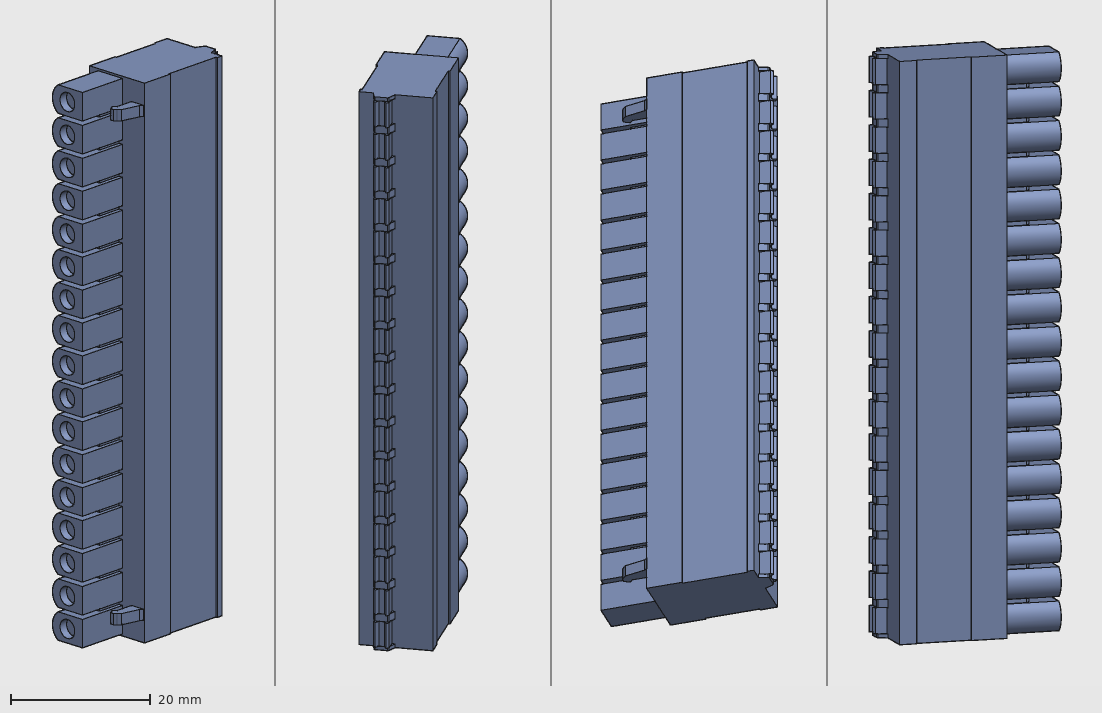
import cadquery as cq

length = 85.0
pole_count = 17
pitch = length / pole_count

housing_width = 10.9
housing_depth = 16.15
waist_front = 5.35
waist_back = 13.6
waist_inset = 0.25
waist_slope = 0.2
right_waist_back = 15.1

sleeve_length = 8.3
sleeve_height = 4.3
sleeve_right = 1.1
sleeve_left = -4.85
hole_x = -1.9
sleeve_radius = 2.6
hole_radius = 1.45
hole_depth = 1.4

web_left = -3.4
web_right = 0.4
web_length = 4.1
web_chamfer = 0.5

rib_base_left = 0.1
rib_base_right = 3.3
rib_top_left = 0.7
rib_top_right = 2.9
rib_height = 1.45
rib_chamfer = 0.2
tooth_left = 0.6
tooth_right = 2.9
tooth_shoulder = 1.7
tooth_height = 2.0
tooth_width = 3.8
tooth_valley = 1.4
tip_inset = 0.3
valley_inset = 0.8

lever_width = 1.7
lever_end_distance = 4.25
lever_inner_x = 2.9
lever_root_x = 5.3
lever_length = 4.3
hook_x = 2.4
hook_start = 3.0
hook_point = 3.5
tip_end_x = 3.4
tip_middle = (3.8, -4.0)
tip_outer = (4.25, -3.6)
lever_shoulder = (4.9, -0.5)


def pole_z(index):
    """Height of the centre of a pole, counted from the bottom."""
    return (index + 0.5 - pole_count / 2) * pitch


def prism(points, height, z_centre):
    """Extrude an XY outline along Z, centred on the given height."""
    return (
        cq.Workplane("XY", origin=(0, 0, z_centre - height / 2))
        .polyline(points)
        .close()
        .extrude(height)
    )


def make_housing():
    half = housing_width / 2
    waist = half - waist_inset
    outline = [
        (-half, 0),
        (half, 0),
        (half, waist_front),
        (waist, waist_front),
        (waist, right_waist_back),
        (half, right_waist_back),
        (half, housing_depth),
        (-half, housing_depth),
        (-half, waist_back),
        (-waist, waist_back - waist_slope),
        (-waist, waist_front),
        (-half, waist_front),
    ]
    return prism(outline, length, 0)


def make_sleeve(z):
    """Sleeve with a rounded -X side."""
    half = sleeve_height / 2
    corner_x = sleeve_left + sleeve_radius - (sleeve_radius**2 - half**2) ** 0.5
    return (
        cq.Workplane("XZ", origin=(0, 0, z))
        .moveTo(sleeve_right, half)
        .lineTo(corner_x, half)
        .threePointArc((sleeve_left, 0), (corner_x, -half))
        .lineTo(sleeve_right, -half)
        .close()
        .extrude(sleeve_length)
    )


def make_hole(z):
    return (
        cq.Workplane("XZ", origin=(hole_x, -sleeve_length, z))
        .circle(hole_radius)
        .extrude(-hole_depth)
    )


def make_web(z):
    outline = [
        (web_left, 0),
        (web_left, web_chamfer - web_length),
        (web_left + web_chamfer, -web_length),
        (web_right, -web_length),
        (web_right, 0),
    ]
    return prism(outline, pitch, z)


def make_rib_piece(height, z):
    """Piece of rib with sloping flanks and chamfered edges."""
    top = housing_depth + rib_height
    outline = [
        (rib_base_left, housing_depth),
        (rib_base_right, housing_depth),
        (rib_top_right, top - rib_chamfer),
        (rib_top_right - rib_chamfer, top),
        (rib_top_left + rib_chamfer, top),
        (rib_top_left, top - rib_chamfer),
    ]
    return prism(outline, height, z)


def make_tooth(z):
    """Two-pointed tooth with upright flanks."""
    shoulder = housing_depth + tooth_shoulder
    tip = housing_depth + tooth_height
    valley = housing_depth + tooth_valley
    outline = [
        (tooth_left, housing_depth),
        (tooth_right, housing_depth),
        (tooth_right, shoulder),
        (tooth_right - tip_inset, tip),
        (tooth_right - valley_inset, valley),
        (tooth_left + valley_inset, valley),
        (tooth_left + tip_inset, tip),
        (tooth_left, shoulder),
    ]
    return prism(outline, tooth_width, z)


def make_lever(z):
    """Tapered latch lever with a small hook facing the sleeves."""
    outline = [
        (lever_inner_x, 0),
        (lever_inner_x, -hook_start),
        (hook_x, -hook_point),
        (lever_inner_x, -lever_length),
        (tip_end_x, -lever_length),
        tip_middle,
        tip_outer,
        lever_shoulder,
        (lever_root_x, 0),
    ]
    return prism(outline, lever_width, z)


poles = [pole_z(index) for index in range(pole_count)]
gaps = [pole_z(index + 0.5) for index in range(pole_count - 1)]
lever_z = length / 2 - lever_end_distance

gap_height = pitch - tooth_width
end_z = (length - gap_height / 2) / 2

added = [make_rib_piece(gap_height, z) for z in gaps]
added += [make_rib_piece(gap_height / 2, z) for z in (-end_z, end_z)]
added += [make_sleeve(z) for z in poles]
added += [make_tooth(z) for z in poles]
added += [make_web(z) for z in gaps]
added += [make_lever(z) for z in (-lever_z, lever_z)]
holes = [make_hole(z) for z in poles]

body = make_housing().val().fuse(*[part.val() for part in added])
body = body.cut(*[hole.val() for hole in holes])
result = cq.Workplane(body.clean().Solids()[0])